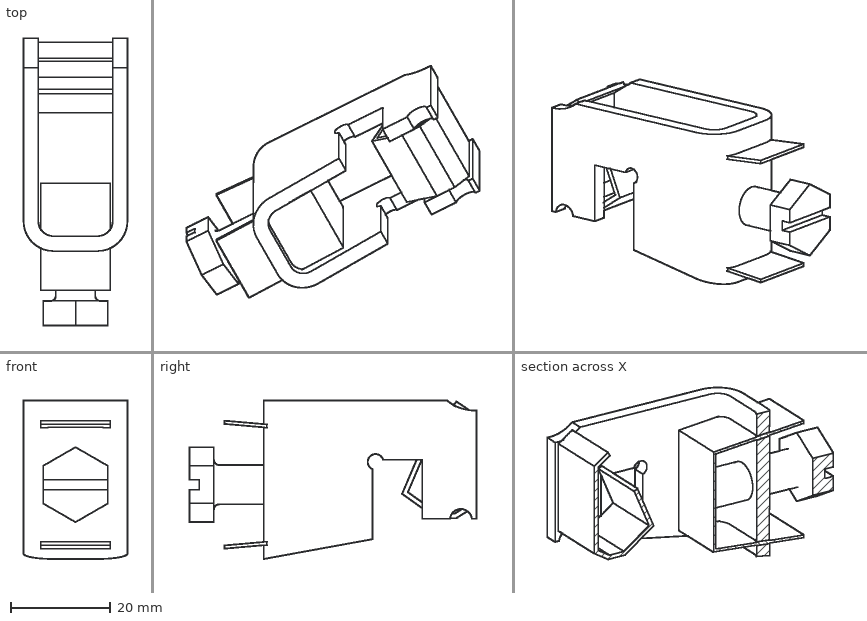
import cadquery as cq
import math


frame_width = 21.0
frame_length = 43.0
frame_top = 17.0
frame_bottom = -15.0
wall = 3.0
bend_radius = 6.05
inner_width = frame_width - 2 * wall

rear_leg_bottom = -6.9
notch_front = 22.0
notch_back = 31.95
notch_top = 5.0
skirt_back_bottom = -11.0
relief_radius = 1.55
relief_y = 22.55
relief_z = 4.6
top_scoop_length = 6.0
top_scoop_back_z = 15.0
top_scoop_middle = (40.1, 15.3)
foot_scoop_center_y = 39.8
foot_scoop_half_width = 2.2
foot_scoop_height = 2.0

strip_thickness = 1.0
strip_points = [
    (38.85, 16.8),
    (42.15, 14.55),
    (42.15, -4.7),
    (38.85, -6.8),
    (34.8, -6.8),
    (27.9, -1.85),
    (31.8, 7.25),
]

flap_width = 14.05
flap_thickness = 0.7
flap_tip_y = -7.95
flap_tip_z = 12.95
flap_angle = 5
web_back_y = 13.7

shank_diameter = 8.0
head_flats = 13.1
head_height = 5.0
head_end_y = frame_length - 58
head_back_y = head_end_y + head_height
neck_radius = 1.0
slot_width = 2.0
slot_depth = 2.0


def extrude_across(sketch, width):
    """Extrude a closed YZ outline symmetrically along X."""
    return sketch.extrude(width / 2, both=True)


def make_strap():
    """U-shaped strap trimmed to its side outline."""
    height = frame_top - frame_bottom
    base = cq.Workplane("XY").workplane(offset=frame_bottom)
    outer = base.center(0, frame_length / 2).rect(frame_width, frame_length).extrude(height)
    outer = outer.edges("|Z and <Y").fillet(bend_radius)
    inner = (
        base.center(0, wall + frame_length / 2)
        .rect(inner_width, frame_length)
        .extrude(height)
        .edges("|Z and <Y")
        .fillet(bend_radius - wall)
    )
    foot_back = foot_scoop_center_y + foot_scoop_half_width
    foot_front = foot_scoop_center_y - foot_scoop_half_width
    side = (
        cq.Workplane("YZ")
        .moveTo(0, frame_bottom)
        .lineTo(0, frame_top)
        .lineTo(frame_length - top_scoop_length, frame_top)
        .threePointArc(top_scoop_middle, (frame_length, top_scoop_back_z))
        .lineTo(frame_length, rear_leg_bottom)
        .lineTo(foot_back, rear_leg_bottom)
        .threePointArc(
            (foot_scoop_center_y, rear_leg_bottom + foot_scoop_height),
            (foot_front, rear_leg_bottom),
        )
        .lineTo(notch_back, rear_leg_bottom)
        .lineTo(notch_back, notch_top)
        .lineTo(notch_front, notch_top)
        .lineTo(notch_front, skirt_back_bottom)
        .close()
    )
    relief = cq.Workplane("YZ").center(relief_y, relief_z).circle(relief_radius)
    return outer.cut(inner).intersect(extrude_across(side, frame_width)).cut(
        extrude_across(relief, frame_width)
    )


def inset_path(points, distance):
    """Offset an open path to the right of its direction of travel, with mitred corners."""
    normals = []
    for (y1, z1), (y2, z2) in zip(points, points[1:]):
        length = math.hypot(y2 - y1, z2 - z1)
        normals.append(((z2 - z1) / length, (y1 - y2) / length))
    before = [normals[0]] + normals
    after = normals + [normals[-1]]
    inset = []
    for (y, z), (ay, az), (by, bz) in zip(points, before, after):
        mitre = distance / (1 + ay * by + az * bz)
        inset.append((y + mitre * (ay + by), z + mitre * (az + bz)))
    return inset


def make_spring_strip():
    """Bent strip that closes the back of the strap and reaches both walls."""
    inner_points = inset_path(strip_points, strip_thickness)
    outline = cq.Workplane("YZ").polyline(strip_points + inner_points[::-1]).close()
    return extrude_across(outline, inner_width)


def make_pressure_piece():
    """Channel with flaps that flare outward through the front wall."""
    slope = math.tan(math.radians(flap_angle))
    web_outer_z = flap_tip_z - slope * (web_back_y - flap_tip_y)
    web_front_y = web_back_y - flap_thickness
    web_inner_z = web_outer_z + slope * flap_thickness - flap_thickness
    flap_inner_z = flap_tip_z - flap_thickness
    outline = cq.Workplane("YZ").polyline([
        (flap_tip_y, flap_tip_z),
        (web_back_y, web_outer_z),
        (web_back_y, -web_outer_z),
        (flap_tip_y, -flap_tip_z),
        (flap_tip_y, -flap_inner_z),
        (web_front_y, -web_inner_z),
        (web_front_y, web_inner_z),
        (flap_tip_y, flap_inner_z),
    ]).close()
    return extrude_across(outline, flap_width)


def make_screw():
    """Slotted hexagon screw whose end bears on the web of the pressure piece."""
    shank_radius = shank_diameter / 2
    shank_end_y = web_back_y - flap_thickness
    arc_offset = neck_radius * (1 - math.sqrt(0.5))
    shank = (
        cq.Workplane("XY")
        .moveTo(0, head_back_y)
        .lineTo(shank_radius + neck_radius, head_back_y)
        .threePointArc(
            (shank_radius + arc_offset, head_back_y + arc_offset),
            (shank_radius, head_back_y + neck_radius),
        )
        .lineTo(shank_radius, shank_end_y)
        .lineTo(0, shank_end_y)
        .close()
        .revolve(360, (0, 0, 0), (0, 1, 0))
    )
    head_corners = head_flats / math.cos(math.radians(30))
    head = (
        cq.Workplane("XZ", origin=(0, head_back_y, 0))
        .transformed(rotate=(0, 0, 30))
        .polygon(6, head_corners)
        .extrude(head_height)
    )
    slot = cq.Workplane("XY").box(head_corners, 2 * slot_depth, slot_width).translate((0, head_end_y, 0))
    return head.cut(slot).union(shank)


def make_frame(pressure_piece):
    """Strap and spring strip in one piece, with a screw hole and two flap slots."""
    screw_hole = cq.Workplane("XZ").circle(shank_diameter / 2).extrude(-2 * wall)
    return make_strap().union(make_spring_strip()).cut(screw_hole).cut(pressure_piece)


pressure_piece = make_pressure_piece()
screw = make_screw()
frame = make_frame(pressure_piece)

bodies = [frame, pressure_piece, screw]
result = cq.Compound.makeCompound([body.solids().val() for body in bodies])